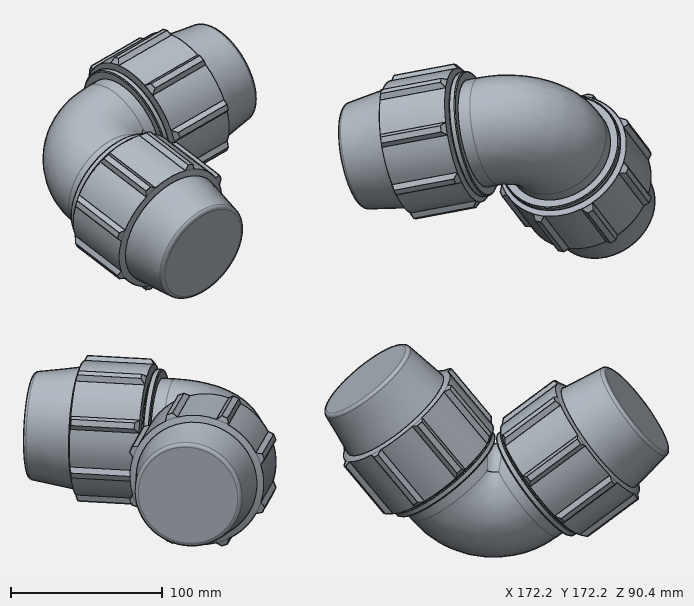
import cadquery as cq
import math

BODY_RADIUS = 72.0 / 2
BEND_RADIUS = 33.5
CROTCH_FILLET = 6.9

FLANGE_RADIUS = 83.5 / 2
FLANGE_START = 41.8
FLANGE_THICKNESS = 4.5
FLANGE_CHAMFER = 0.7

OVERALL_LENGTH = 172.2
OVERALL_HEIGHT = 90.4
ARM_END = OVERALL_LENGTH - OVERALL_HEIGHT / 2
NUT_START = 48.0
NUT_LENGTH = 46.1
NUT_RADIUS = 44.8
NUT_END = NUT_START + NUT_LENGTH
SHOULDER_LENGTH = 1.4
CONE_BASE_RADIUS = 40.5
CONE_TIP_RADIUS = 35.5
TIP_ROUND = 2.5

RIB_COUNT = 8
RIB_PITCH = 360 / RIB_COUNT
RIB_TOP_WIDTH = 4.1
RIB_BASE_WIDTH = 10.7
RIB_ROOT_RADIUS = 43.0
RIB_START_BEVEL = 2.8
HALF_PITCH = math.radians(RIB_PITCH / 2)
RIB_TOP_RADIUS = (OVERALL_HEIGHT / 2 - RIB_TOP_WIDTH / 2 * math.sin(HALF_PITCH)) / math.cos(HALF_PITCH)
SHOULDER_SLOPE = SHOULDER_LENGTH / (NUT_RADIUS - CONE_BASE_RADIUS)
RIB_END_BEVEL = (RIB_TOP_RADIUS - NUT_RADIUS) * SHOULDER_SLOPE


def mirror_to_y_arm(shape):
    """Mirror a shape on the X arm in the plane x = y."""
    return shape.mirror("XZ").rotate((0, 0, 0), (0, 0, 1), 90)


def make_bend():
    """Quarter turn of the body circle, cut flat where it would cross the turning axis."""
    tip_height = math.sqrt(BODY_RADIUS**2 - BEND_RADIUS**2)
    return (
        cq.Workplane("XZ", origin=(0, BEND_RADIUS, 0))
        .moveTo(BEND_RADIUS, -tip_height)
        .threePointArc((-BODY_RADIUS, 0), (BEND_RADIUS, tip_height))
        .close()
        .revolve(90, (BEND_RADIUS, 0, 0), (BEND_RADIUS, 1, 0))
    )


def make_tube(start):
    tube = cq.Workplane("YZ", origin=(start, 0, 0)).circle(BODY_RADIUS).extrude(NUT_START - start)
    return tube.rotate((0, 0, 0), (1, 0, 0), 180)


def make_crotch():
    """Inner corner between the arms, rounded as if by a ball rolling along both tubes.

    The ball stops where its centre reaches the turning axis of the bend. It then touches
    the bend along an arc in a slanting plane, where the corner is cut.
    """
    ball_reach = BODY_RADIUS + CROTCH_FILLET
    ball_height = math.sqrt(ball_reach**2 - BEND_RADIUS**2)
    inner_side = BEND_RADIUS / 2
    tube = make_tube(inner_side)
    size = NUT_START - inner_side
    block = (
        cq.Workplane("XY")
        .box(size, size, 2 * ball_height, centered=(False, False, True))
        .translate((inner_side, inner_side, 0))
    )
    corner = tube.union(mirror_to_y_arm(tube)).intersect(block)
    crotch_edge = cq.selectors.NearestToPointSelector((BODY_RADIUS, BODY_RADIUS, 0))
    corner = corner.edges(crotch_edge).fillet(CROTCH_FILLET)
    apex = BEND_RADIUS / math.sqrt(2)
    wedge_length = 2 * NUT_START
    wedge_height = wedge_length * ball_height / apex
    wedge = (
        cq.Workplane("XZ")
        .polyline([(apex, 0), (apex + wedge_length, wedge_height), (apex + wedge_length, -wedge_height)])
        .close()
        .extrude(NUT_START, both=True)
        .rotate((0, 0, 0), (0, 0, 1), 45)
    )
    return corner.intersect(wedge)


def make_body():
    tube = make_tube(BEND_RADIUS)
    return make_bend().union(tube).union(mirror_to_y_arm(tube)).union(make_crotch())


def make_flange():
    return (
        cq.Workplane("YZ", origin=(FLANGE_START, 0, 0))
        .circle(FLANGE_RADIUS)
        .extrude(FLANGE_THICKNESS)
        .edges()
        .chamfer(FLANGE_CHAMFER)
    )


def make_nut():
    cone_start = NUT_END + SHOULDER_LENGTH
    profile = (
        cq.Workplane("XY")
        .moveTo(NUT_START, 0)
        .lineTo(NUT_START, NUT_RADIUS)
        .lineTo(NUT_END, NUT_RADIUS)
        .lineTo(cone_start, CONE_BASE_RADIUS)
        .lineTo(ARM_END, CONE_TIP_RADIUS)
        .lineTo(ARM_END, 0)
        .close()
    )
    nut = profile.revolve(360, (0, 0, 0), (1, 0, 0))
    return nut.faces(">X").edges().fillet(TIP_ROUND)


def make_rib():
    """Straight rib along X on the +Z side, with sloping sides and bevelled ends."""
    cross_section = (
        cq.Workplane("YZ", origin=(NUT_START, 0, 0))
        .moveTo(-RIB_BASE_WIDTH / 2, RIB_ROOT_RADIUS)
        .lineTo(RIB_BASE_WIDTH / 2, RIB_ROOT_RADIUS)
        .lineTo(RIB_TOP_WIDTH / 2, RIB_TOP_RADIUS)
        .lineTo(-RIB_TOP_WIDTH / 2, RIB_TOP_RADIUS)
        .close()
        .extrude(NUT_LENGTH)
    )
    side_profile = (
        cq.Workplane("XZ", origin=(0, RIB_BASE_WIDTH / 2, 0))
        .moveTo(NUT_START, RIB_ROOT_RADIUS)
        .lineTo(NUT_START, NUT_RADIUS)
        .lineTo(NUT_START + RIB_START_BEVEL, RIB_TOP_RADIUS)
        .lineTo(NUT_END - RIB_END_BEVEL, RIB_TOP_RADIUS)
        .lineTo(NUT_END, NUT_RADIUS)
        .lineTo(NUT_END, RIB_ROOT_RADIUS)
        .close()
        .extrude(RIB_BASE_WIDTH)
    )
    return cross_section.intersect(side_profile)


def make_arm():
    arm = make_nut().union(make_flange())
    rib = make_rib()
    for i in range(RIB_COUNT):
        arm = arm.union(rib.rotate((0, 0, 0), (1, 0, 0), (i + 0.5) * RIB_PITCH))
    return arm


arm = make_arm()
result = make_body().union(arm).union(mirror_to_y_arm(arm))